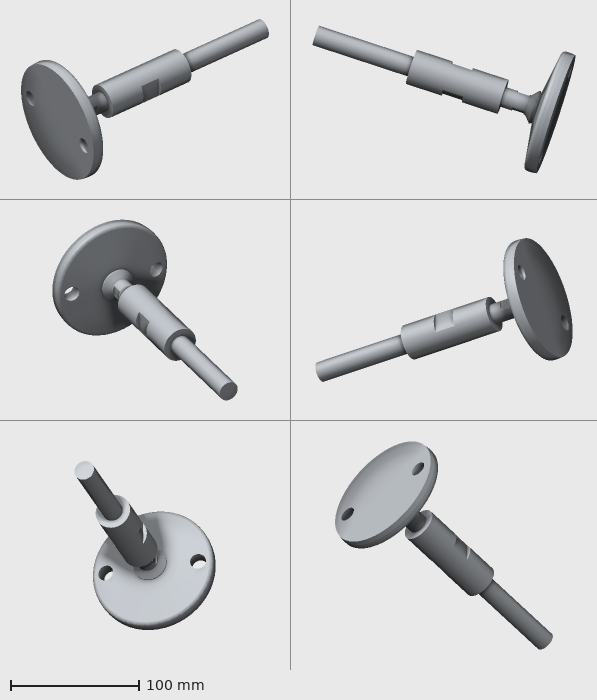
import cadquery as cq
import math

total_length = 197.0

foot_radius = 98.0 / 2
underside_radius = 48.5
rim_bottom = 4.1
rim_shoulder = 9.8
foot_top = 15.5
foot_top_radius = 12.5
shoulder_rounding = 3.0
selection_margin = 0.2

hole_diameter = 12.5
hole_offset = 35.7
foot_slope = math.degrees(math.atan2(foot_top - rim_shoulder, foot_radius - foot_top_radius))

neck_radius = foot_top_radius
collar_radius = 13.4
collar_bottom = 16.7
collar_edge = 17.7
collar_top = 22.7

stem_diameter = 16.0
stem_radius = stem_diameter / 2
stem_flat_bottom = 23.8
stem_flat_length = 9.8
stem_across_flats = 13.0

sleeve_diameter = 28.0
sleeve_bottom = 43.3
sleeve_length = 75.0
sleeve_flat_length = 16.7
sleeve_across_flats = 22.0
sleeve_flat_bottom = sleeve_bottom + (sleeve_length - sleeve_flat_length) / 2


def cylinder_along_y(diameter, start, length):
    """Cylinder on the Y axis, from y = start to start + length."""
    return cq.Workplane("XZ", origin=(0, start, 0)).circle(diameter / 2).extrude(-length)


def flat_cutters(diameter, across_flats, start, length):
    """Pair of blocks that leave flats facing -X and +X on a round bar."""
    blank = cq.Workplane("XY").box(2 * diameter, length, 2 * diameter)
    core = cq.Workplane("XY").box(across_flats, length, 2 * diameter)
    return blank.cut(core).translate((0, start + length / 2, 0))


def foot_hole(side):
    """Cutter for one hole, leaning outward towards the given side (-1 or +1)."""
    cutter_length = 4 * foot_top
    cutter = cylinder_along_y(hole_diameter, -cutter_length / 2, cutter_length)
    cutter = cutter.rotate((0, 0, 0), (0, 0, 1), -side * foot_slope)
    return cutter.translate((side * hole_offset, 0, 0))


def make_foot_plate():
    profile = (
        cq.Workplane("XY")
        .moveTo(0, 0)
        .lineTo(underside_radius, 0)
        .lineTo(foot_radius, rim_bottom)
        .lineTo(foot_radius, rim_shoulder)
        .lineTo(foot_top_radius, foot_top)
        .lineTo(0, foot_top)
        .close()
    )
    plate = profile.revolve(360, (0, 0, 0), (0, 1, 0))
    shoulder = cq.selectors.BoxSelector(
        (-foot_radius, rim_shoulder - selection_margin, -foot_radius),
        (foot_radius, rim_shoulder + selection_margin, foot_radius),
    )
    plate = plate.edges(shoulder).fillet(shoulder_rounding)
    for side in (-1, 1):
        plate = plate.cut(foot_hole(side))
    return plate


def make_stem():
    profile = (
        cq.Workplane("XY")
        .moveTo(0, foot_top)
        .lineTo(neck_radius, foot_top)
        .lineTo(neck_radius, collar_bottom)
        .lineTo(collar_radius, collar_bottom)
        .lineTo(collar_radius, collar_edge)
        .lineTo(stem_radius, collar_top)
        .lineTo(stem_radius, total_length)
        .lineTo(0, total_length)
        .close()
    )
    stem = profile.revolve(360, (0, 0, 0), (0, 1, 0))
    return stem.cut(flat_cutters(stem_diameter, stem_across_flats, stem_flat_bottom, stem_flat_length))


def make_foot():
    """Foot plate and stem as one solid."""
    return make_foot_plate().union(make_stem())


def make_sleeve():
    """Sleeve around the stem, with a through bore that fits it."""
    sleeve = cylinder_along_y(sleeve_diameter, sleeve_bottom, sleeve_length)
    sleeve = sleeve.cut(cylinder_along_y(stem_diameter, sleeve_bottom, sleeve_length))
    return sleeve.cut(
        flat_cutters(sleeve_diameter, sleeve_across_flats, sleeve_flat_bottom, sleeve_flat_length)
    )


foot = make_foot()
sleeve = make_sleeve()

result = cq.Compound.makeCompound([foot.solids().val(), sleeve.solids().val()])